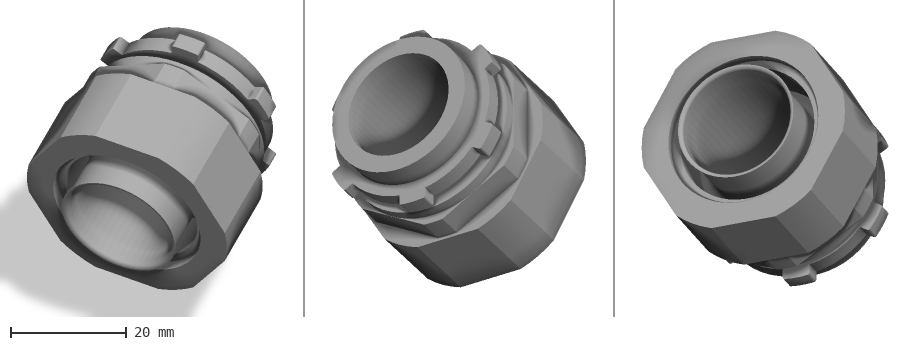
import cadquery as cq
import math


nut_length = 15.0
nut_lip_length = 1.9
sleeve_end = 10.8
flange_thickness = 2.0
body_hex_length = 5.0
washer_thickness = 2.2
locknut_gap = 2.05
locknut_thickness = 3.0
spigot_length = 12.0
tube_overhang = 3.5

washer_start = nut_length + body_hex_length
locknut_start = washer_start + washer_thickness + locknut_gap
locknut_end = locknut_start + locknut_thickness
spigot_end = washer_start + spigot_length
flange_end = sleeve_end + flange_thickness

nut_across_flats = 36.0
nut_corner_diameter = 37.92
nut_lip_diameter = 28.0
nut_thread_diameter = 29.0
sleeve_bore_diameter = 25.0

body_across_flats = 32.0
body_corner_diameter = 35.0
spigot_diameter = 26.43

bore_diameter = 20.0
tube_diameter = 20.48
flare_diameter = 21.5
flare_inner_bend = 0.65
flange_diameter = 24.5
flange_fillet = 1.4

washer_diameter = 32.0
locknut_diameter = 30.8
lug_count = 6
lug_tip_diameter = 34.6
lug_width = 5.05
lug_fillet = 0.4


def plane_at(y):
    """Plane across the axis at Y = y, with its normal along +Y."""
    return cq.Workplane(cq.Plane(origin=(0, y, 0), xDir=(1, 0, 0), normal=(0, 1, 0)))


def cylinder(diameter, start, end):
    """Solid cylinder along Y."""
    return plane_at(start).circle(diameter / 2).extrude(end - start)


def tube(outer_diameter, inner_diameter, start, end):
    """Hollow cylinder along Y."""
    return plane_at(start).circle(outer_diameter / 2).circle(inner_diameter / 2).extrude(end - start)


def rounded_hex(across_flats, corner_diameter, start, end, turn):
    """Hexagonal prism whose corners are turned down to a cylinder; turn = 0 puts corners on X."""
    across_corners = across_flats / math.cos(math.pi / 6)
    prism = plane_at(start).polygon(6, across_corners).extrude(end - start)
    prism = prism.rotate((0, 0, 0), (0, 1, 0), turn)
    return prism.intersect(cylinder(corner_diameter, start, end))


def make_gland_nut():
    """Hexagonal nut with a lip at its mouth."""
    nut = rounded_hex(nut_across_flats, nut_corner_diameter, 0, nut_length, 0)
    nut = nut.cut(cylinder(nut_lip_diameter, 0, nut_lip_length))
    return nut.cut(cylinder(nut_thread_diameter, nut_lip_length, nut_length))


def make_gland_body():
    """Hexagon with a threaded stub inside the nut and a spigot behind, bored for the ferrule."""
    body = rounded_hex(body_across_flats, body_corner_diameter, nut_length, washer_start, 30)
    body = body.union(cylinder(nut_thread_diameter, sleeve_end, nut_length))
    body = body.union(cylinder(spigot_diameter, washer_start, spigot_end))
    body = body.cut(cylinder(flange_diameter, sleeve_end, flange_end))
    body = body.cut(cylinder(tube_diameter, flange_end, nut_length))
    return body.cut(cylinder(bore_diameter, nut_length, spigot_end))


def make_ferrule():
    """Thin tube with a flared mouth, and a flange seated in the body and filleted into the tube."""
    bore_radius = bore_diameter / 2
    tube_radius = tube_diameter / 2
    flare_radius = flare_diameter / 2
    flange_radius = flange_diameter / 2
    tube_wall = tube_radius - bore_radius
    outer_bend = flare_inner_bend - tube_wall
    bend_radius = bore_radius + flare_inner_bend
    bend_y = flare_inner_bend - tube_overhang
    diagonal = math.sqrt(0.5)
    profile = (
        cq.Workplane("XY")
        .moveTo(bore_radius, nut_length)
        .lineTo(bore_radius, bend_y)
        .threePointArc(
            (bend_radius - flare_inner_bend * diagonal, bend_y - flare_inner_bend * diagonal),
            (bend_radius, -tube_overhang),
        )
        .lineTo(flare_radius, -tube_overhang)
        .lineTo(flare_radius, bend_y - outer_bend)
        .lineTo(bend_radius, bend_y - outer_bend)
        .threePointArc(
            (bend_radius - outer_bend * diagonal, bend_y - outer_bend * diagonal),
            (tube_radius, bend_y),
        )
        .lineTo(tube_radius, sleeve_end - flange_fillet)
        .threePointArc(
            (
                tube_radius + flange_fillet * (1 - diagonal),
                sleeve_end - flange_fillet * (1 - diagonal),
            ),
            (tube_radius + flange_fillet, sleeve_end),
        )
        .lineTo(flange_radius, sleeve_end)
        .lineTo(flange_radius, flange_end)
        .lineTo(tube_radius, flange_end)
        .lineTo(tube_radius, nut_length)
        .close()
    )
    return profile.revolve(360, (0, 0, 0), (0, 1, 0))


def make_sleeve():
    """Sleeve inside the nut, held between the nut lip and the gland body."""
    return tube(nut_thread_diameter, sleeve_bore_diameter, nut_lip_length, sleeve_end)


def make_washer():
    """Flat ring on the spigot, against the body hexagon."""
    return tube(washer_diameter, spigot_diameter, washer_start, washer_start + washer_thickness)


def make_lug():
    """Parallel-sided lug on +Z with a rounded tip edge along each side."""
    lug_height = lug_tip_diameter / 2
    lug = (
        cq.Workplane("XY")
        .box(lug_width, locknut_thickness, lug_height, centered=(True, False, False))
        .translate((0, locknut_start, 0))
        .intersect(cylinder(lug_tip_diameter, locknut_start, locknut_end))
    )
    return lug.edges("|Y").edges(">Z").fillet(lug_fillet)


def make_locknut():
    """Ring on the spigot with evenly spaced lugs."""
    locknut = cylinder(locknut_diameter, locknut_start, locknut_end)
    lug = make_lug()
    for index in range(lug_count):
        locknut = locknut.union(lug.rotate((0, 0, 0), (0, 1, 0), index * 360 / lug_count))
    return locknut.cut(cylinder(spigot_diameter, locknut_start, locknut_end))


gland_nut = make_gland_nut()
gland_body = make_gland_body()
ferrule = make_ferrule()
sleeve = make_sleeve()
washer = make_washer()
locknut = make_locknut()

result = cq.Compound.makeCompound(
    [
        gland_nut.val(),
        gland_body.val(),
        ferrule.val(),
        sleeve.val(),
        washer.val(),
        locknut.val(),
    ]
)